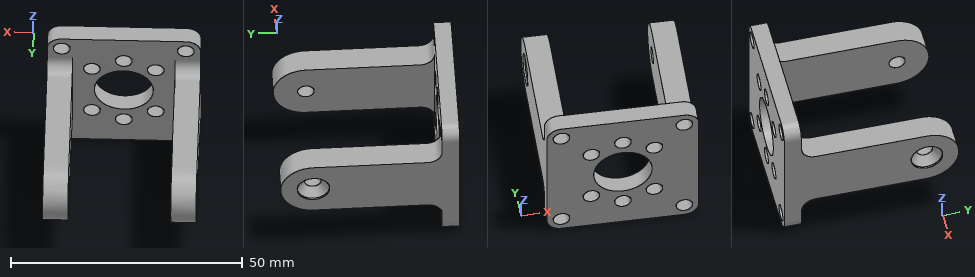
import cadquery as cq

plate_side = 33.25
plate_thickness = 3.85
corner_radius = 3.2
total_length = 38.85

hole_diameter = 3.58
corner_hole_spacing = 26.9
bore_diameter = 12.75
bolt_circle_radius = 9.75
bolt_angles = (45, 90, 135, 225, 270, 315)

arm_thickness = 5.5
arm_height = 14.22
root_fillet = 3.2
countersink_diameter = 7.0
countersink_lip_depth = 0.4
countersink_cone_depth = 1.95

arm_radius = arm_height / 2
pivot_y = total_length - arm_radius
half_side = plate_side / 2


def make_plate():
    """Square flange with rounded corners, its outer face on Y = 0."""
    plate = (
        cq.Workplane("XZ")
        .rect(plate_side, plate_side)
        .extrude(-plate_thickness)
        .edges("|Y")
        .fillet(corner_radius)
    )
    bore = (
        cq.Workplane("XZ")
        .circle(bore_diameter / 2)
        .extrude(-plate_thickness)
    )
    corner_holes = (
        cq.Workplane("XZ")
        .rect(corner_hole_spacing, corner_hole_spacing, forConstruction=True)
        .vertices()
        .circle(hole_diameter / 2)
        .extrude(-plate_thickness)
    )
    plate = plate.cut(bore).cut(corner_holes)
    for angle in bolt_angles:
        bolt_hole = (
            cq.Workplane("XZ")
            .transformed(rotate=(0, 0, angle))
            .center(bolt_circle_radius, 0)
            .circle(hole_diameter / 2)
            .extrude(-plate_thickness)
        )
        plate = plate.cut(bolt_hole)
    return plate


def make_pivot_hole():
    """Cutter for the pivot hole: short straight lip, cone, then through hole."""
    hole_radius = hole_diameter / 2
    sink_radius = countersink_diameter / 2
    cone_start = -half_side + countersink_lip_depth
    cone_end = cone_start + countersink_cone_depth
    inner_face = -half_side + arm_thickness
    return (
        cq.Workplane("XY", origin=(0, pivot_y, 0))
        .moveTo(-half_side, 0)
        .lineTo(-half_side, sink_radius)
        .lineTo(cone_start, sink_radius)
        .lineTo(cone_end, hole_radius)
        .lineTo(inner_face, hole_radius)
        .lineTo(inner_face, 0)
        .close()
        .revolve(360, (0, 0, 0), (1, 0, 0))
    )


def make_arm():
    """Round-ended arm on the -X side, flared into the plate at its root."""
    root_half_height = arm_radius + root_fillet
    flare_end = plate_thickness + root_fillet
    arm = (
        cq.Workplane("YZ", origin=(-half_side, 0, 0))
        .moveTo(plate_thickness, -root_half_height)
        .radiusArc((flare_end, -arm_radius), root_fillet)
        .lineTo(pivot_y, -arm_radius)
        .threePointArc((total_length, 0), (pivot_y, arm_radius))
        .lineTo(flare_end, arm_radius)
        .radiusArc((plate_thickness, root_half_height), root_fillet)
        .close()
        .extrude(arm_thickness)
    )
    return arm.cut(make_pivot_hole())


arm = make_arm()
result = make_plate().union(arm).union(arm.mirror("YZ"))